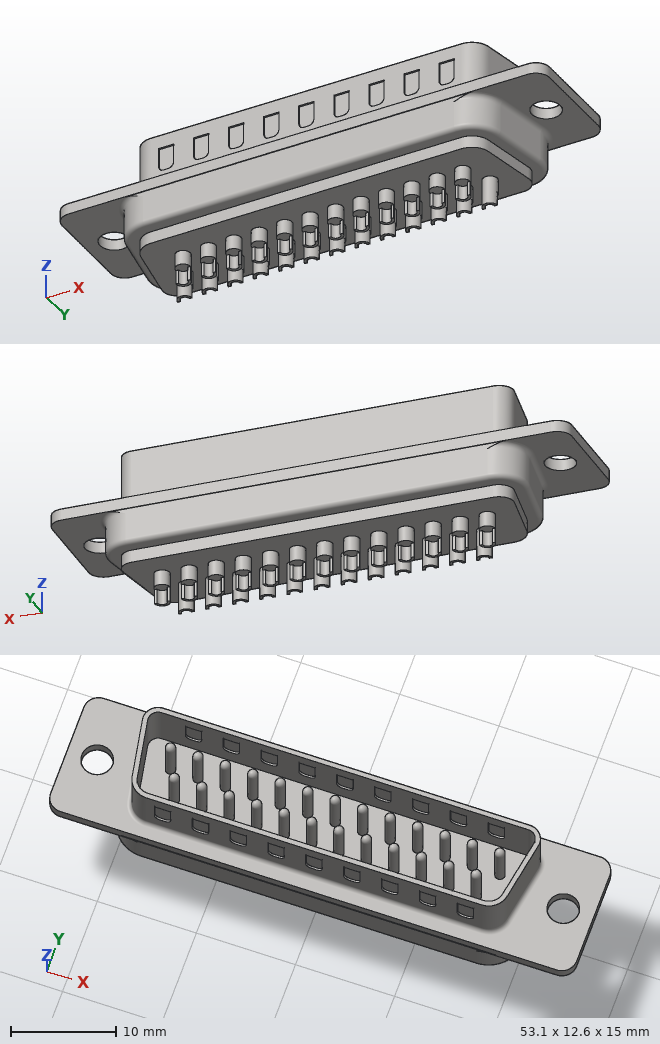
import cadquery as cq
import math

flange_length = 53.09
flange_width = 12.55
flange_thickness = 1.2
flange_corner_radius = 1.5
mounting_hole_spacing = 47.04
mounting_hole_diameter = 3.1

side_slope = math.radians(10)
shell_length = 40.0
shell_width = 9.4
wide_corner_radius = 1.5
narrow_corner_radius = 2.02

shell_height = 5.75
shell_wall = 0.5
shell_base_fillet = 0.45
cavity_floor_z = -0.2
housing_offset = 1.5
housing_bottom_z = -4.9
housing_fillet = 0.5
insert_bottom_z = -6.2

dimple_count = 9
dimple_pitch = 3.82
dimple_width = 1.65
dimple_top_z = 4.3
dimple_bottom_z = 1.7
dimple_corner_radius = 0.6
dimple_depth = 0.2

contact_pitch = 2.77
row_spacing = 2.87
wide_row_count = 13
narrow_row_count = 12
pin_diameter = 1.0
pin_tip_z = 5.2
cup_diameter = 1.57
cup_bore_diameter = 1.0
cup_end_z = -9.26
cup_notch_z = -7.75


def arc_point(center, radius, angle):
    return (center[0] + radius * math.cos(angle), center[1] + radius * math.sin(angle))


def mirrored(point):
    """The point reflected across the YZ plane."""
    return (-point[0], point[1])


def d_outline(growth, z):
    """Closed D-shaped profile at height z, grown outward from the shell's outer outline."""
    half_width = shell_width / 2
    wide_center_x = shell_length / 2 - wide_corner_radius
    wide_center_y = half_width - wide_corner_radius
    narrow_center_y = narrow_corner_radius - half_width
    radius_change = wide_corner_radius - narrow_corner_radius
    drop = wide_center_y - narrow_center_y
    narrow_center_x = wide_center_x + (radius_change - drop * math.sin(side_slope)) / math.cos(side_slope)
    wide_radius = wide_corner_radius + growth
    narrow_radius = narrow_corner_radius + growth

    wide_center = (wide_center_x, wide_center_y)
    narrow_center = (narrow_center_x, narrow_center_y)
    right_angle = math.pi / 2

    wide_start = arc_point(wide_center, wide_radius, right_angle)
    wide_mid = arc_point(wide_center, wide_radius, (right_angle - side_slope) / 2)
    wide_end = arc_point(wide_center, wide_radius, -side_slope)
    narrow_start = arc_point(narrow_center, narrow_radius, -side_slope)
    narrow_mid = arc_point(narrow_center, narrow_radius, -(right_angle + side_slope) / 2)
    narrow_end = arc_point(narrow_center, narrow_radius, -right_angle)
    return (
        cq.Workplane("XY", origin=(0, 0, z))
        .moveTo(*mirrored(wide_start))
        .lineTo(*wide_start)
        .threePointArc(wide_mid, wide_end)
        .lineTo(*narrow_start)
        .threePointArc(narrow_mid, narrow_end)
        .lineTo(*mirrored(narrow_end))
        .threePointArc(mirrored(narrow_mid), mirrored(narrow_start))
        .lineTo(*mirrored(wide_end))
        .threePointArc(mirrored(wide_mid), mirrored(wide_start))
        .close()
    )


def d_prism(growth, bottom_z, top_z):
    return d_outline(growth, bottom_z).extrude(top_z - bottom_z)


def make_flange():
    flange = (
        cq.Workplane("XY")
        .rect(flange_length, flange_width)
        .extrude(-flange_thickness)
        .edges("|Z")
        .fillet(flange_corner_radius)
    )
    holes = (
        cq.Workplane("XY")
        .pushPoints([(-mounting_hole_spacing / 2, 0), (mounting_hole_spacing / 2, 0)])
        .circle(mounting_hole_diameter / 2)
        .extrude(-flange_thickness)
    )
    return flange.cut(holes)


def edges_around_outline(growth, z):
    """Selector for the edges at height z that lie inside a box just larger than the outline."""
    clearance = 0.1
    half_length = shell_length / 2 + growth + clearance
    half_width = shell_width / 2 + growth + clearance
    return cq.selectors.BoxSelector(
        (-half_length, -half_width, z - clearance),
        (half_length, half_width, z + clearance),
        boundingbox=True,
    )


def add_shell(flange):
    """Solid shell block blended into the flange's top face."""
    body = flange.union(d_prism(0, -flange_thickness, shell_height))
    return body.edges(edges_around_outline(0, 0)).fillet(shell_base_fillet)


def make_housing():
    """Rear housing with a rounded lower rim and a flared root trimmed at the long sides."""
    housing = d_prism(housing_offset, housing_bottom_z, -flange_thickness)
    housing = housing.faces("<Z").edges().fillet(housing_fillet)

    root_height = 2 * housing_fillet
    plate = (
        cq.Workplane("XY", origin=(0, 0, -flange_thickness))
        .rect(flange_length, 2 * flange_width)
        .extrude(flange_thickness)
    )
    root = plate.union(d_prism(housing_offset, -flange_thickness - root_height, -flange_thickness))
    root = root.edges(edges_around_outline(housing_offset, -flange_thickness)).fillet(housing_fillet)
    trim = (
        cq.Workplane("XY", origin=(0, 0, -flange_thickness))
        .rect(flange_length, shell_width + 2 * housing_offset)
        .extrude(-root_height)
    )
    return housing.union(root.intersect(trim))


def make_dimple(x, face_y):
    """Tool with square upper and rounded lower corners, sunk dimple_depth toward +Y from face_y."""
    height = dimple_top_z - dimple_bottom_z
    return (
        cq.Workplane("XY")
        .box(dimple_width, dimple_depth, height, centered=(True, False, False))
        .edges("|Y and <Z")
        .fillet(dimple_corner_radius)
        .translate((x, face_y, dimple_bottom_z))
    )


def row_positions(count, pitch):
    return [(index - (count - 1) / 2) * pitch for index in range(count)]


def make_contact(x, side):
    """Round-tipped pin with a solder cup; side is +1 or -1 for the +Y or -Y row."""
    pin_radius = pin_diameter / 2
    tip_center_z = pin_tip_z - pin_radius
    pin = (
        cq.Workplane("XY", origin=(0, 0, cavity_floor_z))
        .circle(pin_radius)
        .extrude(tip_center_z - cavity_floor_z)
    )
    tip = cq.Workplane("XY").sphere(pin_radius).translate((0, 0, tip_center_z))
    cup = (
        cq.Workplane("XY", origin=(0, 0, cup_end_z))
        .circle(cup_diameter / 2)
        .extrude(insert_bottom_z - cup_end_z)
    )
    notch_height = cup_notch_z - cup_end_z
    bore = cq.Workplane("XY", origin=(0, 0, cup_end_z)).circle(cup_bore_diameter / 2).extrude(notch_height)
    notch = (
        cq.Workplane("XY", origin=(0, side * cup_diameter / 2, cup_end_z))
        .box(cup_diameter, cup_diameter, notch_height, centered=(True, True, False))
    )
    contact = pin.union(tip).union(cup.cut(bore).cut(notch))
    return contact.translate((x, side * row_spacing / 2, 0))


result = add_shell(make_flange()).union(make_housing())
result = result.union(d_prism(0, insert_bottom_z, -flange_thickness))
result = result.cut(d_prism(-shell_wall, cavity_floor_z, shell_height))

for dimple_x in row_positions(dimple_count, dimple_pitch):
    result = result.cut(make_dimple(dimple_x, -shell_width / 2))
    result = result.cut(make_dimple(dimple_x, shell_width / 2 - shell_wall))

for contact_x in row_positions(wide_row_count, contact_pitch):
    result = result.union(make_contact(contact_x, 1))
for contact_x in row_positions(narrow_row_count, contact_pitch):
    result = result.union(make_contact(contact_x, -1))